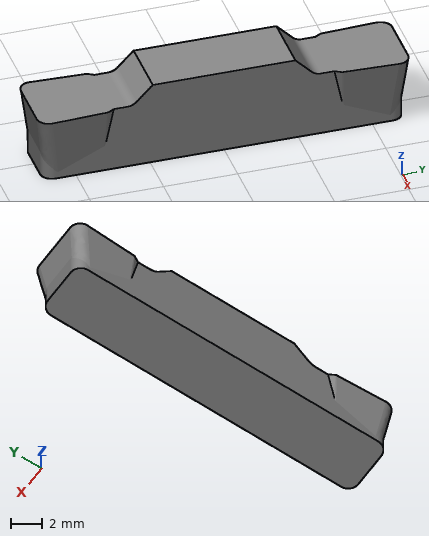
import cadquery as cq
import math

length = 25.07
height = 5.97
shank_width = 4.19
shank_length = 24.37
seat_height = 4.61
crown_length = 9.63
slope_foot_radius = 0.9
corner_radius = 0.8

head_tip_width = 5.11
head_length = 4.65
side_taper = math.tan(math.radians(2.5))
side_relief = math.tan(math.radians(5.6))
front_relief = math.tan(math.radians(7))
shoulder_angle = math.tan(math.radians(30))
shoulder_bottom_shift = 0.2
shoulder_edge_radius = 0.25
head_root_half_width = 1.25


def make_shank():
    half_length = shank_length / 2
    half_crown = crown_length / 2
    slope_foot = half_crown + height - seat_height
    outline = [
        (-half_length, 0),
        (half_length, 0),
        (half_length, seat_height),
        (slope_foot, seat_height),
        (half_crown, height),
        (-half_crown, height),
        (-slope_foot, seat_height),
        (-half_length, seat_height),
    ]
    bar = cq.Workplane("YZ").polyline(outline).close().extrude(shank_width / 2, both=True)
    bar = bar.edges("|Z").fillet(corner_radius)
    feet = cq.selectors.BoxSelector(
        (-shank_width, -slope_foot - 0.25, seat_height - 0.25),
        (shank_width, slope_foot + 0.25, seat_height + 0.25),
    )
    return bar.edges("|X").edges(feet).fillet(slope_foot_radius)


def head_outline(depth):
    """Plan outline of the +Y head at a depth below its top face."""
    tip_y = length / 2 - depth * front_relief
    shoulder_y = length / 2 - head_length + depth / seat_height * shoulder_bottom_shift

    def half_width(y):
        return head_tip_width / 2 - depth * side_relief - side_taper * (length / 2 - y)

    shoulder_x = half_width(shoulder_y)
    root_y = shoulder_y - (shoulder_x - head_root_half_width) / shoulder_angle
    right_side = [
        (head_root_half_width, root_y),
        (shoulder_x, shoulder_y),
        (half_width(tip_y), tip_y),
    ]
    left_side = [(-x, y) for x, y in reversed(right_side)]
    return right_side + left_side


def upright_edges(body, y_min, y_max):
    """Edges centred at mid height with a Y position inside the given range."""
    zone = cq.selectors.BoxSelector(
        (-length, y_min, seat_height / 4),
        (length, y_max, seat_height * 3 / 4),
    )
    return body.edges(zone).vals()


def make_head():
    head = (
        cq.Workplane("XY")
        .polyline(head_outline(seat_height)).close()
        .workplane(offset=seat_height)
        .polyline(head_outline(0)).close()
        .loft(ruled=True)
    )
    tip_edges = upright_edges(head, length / 2 - head_length / 2, length)
    head = head.newObject(tip_edges).fillet(corner_radius)
    shoulder_y = length / 2 - head_length
    shoulder_edges = upright_edges(head, shoulder_y - 0.25, shoulder_y + 0.25)
    return head.newObject(shoulder_edges).fillet(shoulder_edge_radius)


head = make_head()
result = make_shank().union(head).union(head.mirror("XZ"))